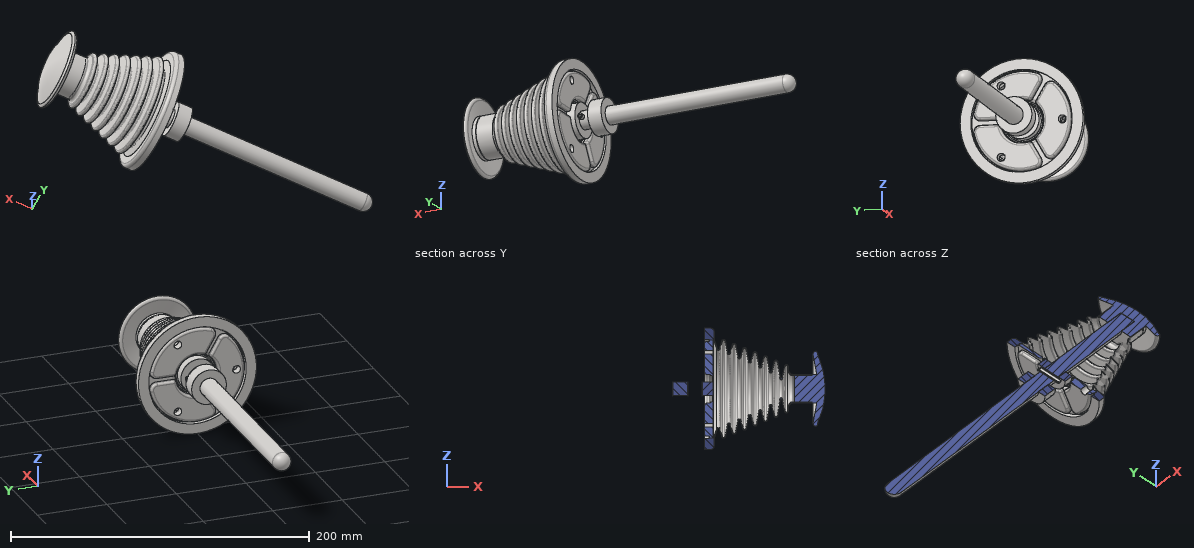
import cadquery as cq
import math

OVERALL_LENGTH = 245.0
KNOB_END_X = 82.5
TIP_X = KNOB_END_X - OVERALL_LENGTH

SHAFT_DIAMETER = 13.0
SHAFT_RADIUS = SHAFT_DIAMETER / 2
SHAFT_END_X = 73.5
COLLAR_RADIUS = 12.5
COLLAR_START_X = -21.3
COLLAR_LENGTH = 10.3
PIN_RADIUS = 1.84
PIN_BORE_RADIUS = 1.0
PIN_LENGTH = 18.5
PIN_X = -3.7

PLATE_RADIUS = 35.0
PLATE_THICKNESS = 6.0
PAD_COUNT = 3
PAD_HEIGHT = 3.2
PAD_OUTER_RADIUS = 34.0
PAD_INNER_RADIUS = 15.0
PAD_TOP_ROUND = 1.7
PAD_OUTER_CORNER_ROUND = 4.7
PAD_INNER_CORNER_ROUND = 2.0
PAD_GAP = 3.2
SCREW_HOLE_RADIUS = 2.7
SCREW_HOLE_PLACE_RADIUS = 28.2
PLATE_BORE_RADIUS = 14.5
PLATE_BORE_ROUND = 2.0
PLATE_LIP_RADIUS = 13.5

BUSHING_RADIUS = COLLAR_RADIUS
BUSHING_START_X = -1.5

FLANGE_DIAMETER = 85.0
FLANGE_RADIUS = FLANGE_DIAMETER / 2
FLANGE_THICKNESS = 6.9
FLANGE_ROUND = 2.5
FOLD_START_RADIUS = 35.0
RIB_COUNT = 7
FIRST_RIB_X = 13.0
LAST_RIB_X = 55.1
FIRST_RIB_RADIUS = 35.3
LAST_RIB_RADIUS = 20.0
RIB_PITCH = (LAST_RIB_X - FIRST_RIB_X) / (RIB_COUNT - 1)
RIB_RADIUS_STEP = (FIRST_RIB_RADIUS - LAST_RIB_RADIUS) / (RIB_COUNT - 1)
RIB_DEPTH = 6.4
RIB_ROUND = 1.5
VALLEY_ROUND = 0.61
WALL = 0.7
NECK_RADIUS = 15.2
NECK_ROUND = 2.5
NECK_START_X = 59.0
NECK_END_X = 72.5

SPIGOT_RADIUS = NECK_RADIUS - WALL
SPIGOT_LENGTH = 12.2
KNOB_RADIUS = 28.0
KNOB_RIM_X = 72.8
KNOB_RIM_ROUND = 2.2
DOME_START_X = 76.2
DOME_START_RADIUS = 25.7
DISH_DEPTH = 2.5


def cylinder(start_x, length, radius):
    return cq.Workplane("YZ", origin=(start_x, 0, 0)).circle(radius).extrude(length)


def revolve_about_x(outline):
    return outline.close().revolve(360, (0, 0, 0), (1, 0, 0))


def pin_plane():
    """Plane of the +Y end of the cross pin; extruding runs toward -Y."""
    return cq.Workplane("XZ", origin=(PIN_X, PIN_LENGTH / 2, 0))


def make_cross_pin():
    """Hollow pin that passes through the shaft along Y."""
    return pin_plane().circle(PIN_RADIUS).circle(PIN_BORE_RADIUS).extrude(PIN_LENGTH)


def make_shaft():
    outline = (
        cq.Workplane("XZ")
        .moveTo(TIP_X, 0)
        .radiusArc((TIP_X + SHAFT_RADIUS, SHAFT_RADIUS), SHAFT_RADIUS)
        .lineTo(SHAFT_END_X, SHAFT_RADIUS)
        .lineTo(SHAFT_END_X, 0)
    )
    pin_hole = pin_plane().circle(PIN_RADIUS).extrude(PIN_LENGTH)
    return revolve_about_x(outline).cut(pin_hole)


def make_collar():
    bore = cylinder(COLLAR_START_X, COLLAR_LENGTH, SHAFT_RADIUS)
    return cylinder(COLLAR_START_X, COLLAR_LENGTH, COLLAR_RADIUS).cut(bore)


def make_pad():
    """Sector pad centred on -Y, as deep as the plate, with all corners and its top edge rounded."""
    half_gap = PAD_GAP / 2
    sector_half_angle = math.radians(180 / PAD_COUNT)

    def corner(radius):
        """Corner at this radius, on the side that runs half a gap from the edge of the sector."""
        angle = sector_half_angle - math.asin(half_gap / radius)
        return -radius * math.cos(angle), radius * math.sin(angle)

    outer_y, outer_z = corner(PAD_OUTER_RADIUS)
    inner_y, inner_z = corner(PAD_INNER_RADIUS)
    pad = (
        cq.Workplane("YZ")
        .moveTo(outer_y, outer_z)
        .threePointArc((-PAD_OUTER_RADIUS, 0), (outer_y, -outer_z))
        .lineTo(inner_y, -inner_z)
        .threePointArc((-PAD_INNER_RADIUS, 0), (inner_y, inner_z))
        .close()
        .extrude(PLATE_THICKNESS)
    )
    pad = pad.edges("|X and (>Z or <Z)").fillet(PAD_OUTER_CORNER_ROUND)
    pad = pad.edges("|X").edges(">Y").fillet(PAD_INNER_CORNER_ROUND)
    return pad.faces("<X").edges().fillet(PAD_TOP_ROUND)


def make_plate_base():
    """Disc behind the pads, with a bore that rounds inward from its front to a narrow lip."""
    lip_x = PAD_HEIGHT + PLATE_BORE_ROUND
    outline = (
        cq.Workplane("XZ")
        .moveTo(PAD_HEIGHT, PLATE_RADIUS)
        .lineTo(PAD_HEIGHT, PLATE_BORE_RADIUS + PLATE_BORE_ROUND)
        .radiusArc((lip_x, PLATE_BORE_RADIUS), -PLATE_BORE_ROUND)
        .lineTo(lip_x, PLATE_LIP_RADIUS)
        .lineTo(PLATE_THICKNESS, PLATE_LIP_RADIUS)
        .lineTo(PLATE_THICKNESS, PLATE_RADIUS)
    )
    return revolve_about_x(outline)


def make_base_plate():
    plate = make_plate_base()
    pad = make_pad()
    hole = cylinder(0, PLATE_THICKNESS, SCREW_HOLE_RADIUS).translate((0, -SCREW_HOLE_PLACE_RADIUS, 0))
    for index in range(PAD_COUNT):
        angle = index * 360 / PAD_COUNT
        plate = plate.union(pad.rotate((0, 0, 0), (1, 0, 0), angle))
        plate = plate.cut(hole.rotate((0, 0, 0), (1, 0, 0), angle))
    return plate


def make_bushing():
    length = PLATE_THICKNESS - BUSHING_START_X
    lip_x = PAD_HEIGHT + PLATE_BORE_ROUND
    nose = cylinder(BUSHING_START_X, length, BUSHING_RADIUS)
    shoulder = cylinder(lip_x, PLATE_THICKNESS - lip_x, PLATE_LIP_RADIUS)
    return nose.union(shoulder).cut(cylinder(BUSHING_START_X, length, SHAFT_RADIUS))


def make_folds(inset):
    """Solid of revolution of the folds and the neck, with its surface moved inward by inset."""
    rib_round = RIB_ROUND - inset
    valley_round = VALLEY_ROUND + inset
    neck_radius = NECK_RADIUS - inset
    neck_round = NECK_ROUND + inset
    outline = (
        cq.Workplane("XZ")
        .moveTo(PLATE_THICKNESS, 0)
        .lineTo(PLATE_THICKNESS, FOLD_START_RADIUS - inset)
        .lineTo(FLANGE_THICKNESS - inset, FOLD_START_RADIUS - inset)
    )
    for rib in range(RIB_COUNT):
        rib_x = FIRST_RIB_X + rib * RIB_PITCH
        valley_x = rib_x - RIB_PITCH / 2
        top = FIRST_RIB_RADIUS - rib * RIB_RADIUS_STEP - inset
        bottom = top - RIB_DEPTH
        outline = (
            outline.lineTo(valley_x - valley_round, bottom + valley_round)
            .threePointArc((valley_x, bottom), (valley_x + valley_round, bottom + valley_round))
            .lineTo(rib_x - rib_round, top - rib_round)
            .threePointArc((rib_x, top), (rib_x + rib_round, top - rib_round))
        )
    outline = (
        outline.lineTo(NECK_START_X - neck_round, neck_radius + neck_round)
        .radiusArc((NECK_START_X, neck_radius), -neck_round)
        .lineTo(NECK_END_X, neck_radius)
        .lineTo(NECK_END_X, 0)
    )
    return revolve_about_x(outline)


def make_bellows():
    flange = cylinder(0, FLANGE_THICKNESS, FLANGE_RADIUS).faces(">X").edges().fillet(FLANGE_ROUND)
    seat = cylinder(0, PLATE_THICKNESS, PLATE_RADIUS)
    return flange.union(make_folds(0)).cut(seat).cut(make_folds(WALL))


def make_knob():
    spigot_start_x = NECK_END_X - SPIGOT_LENGTH
    rim_inner_radius = KNOB_RADIUS - KNOB_RIM_ROUND
    rim_top_x = KNOB_RIM_X + KNOB_RIM_ROUND
    dome_rise = KNOB_END_X - DOME_START_X
    dome_radius = (DOME_START_RADIUS**2 + dome_rise**2) / (2 * dome_rise)
    outline = (
        cq.Workplane("XZ")
        .moveTo(spigot_start_x, 0)
        .lineTo(spigot_start_x, SPIGOT_RADIUS)
        .lineTo(NECK_END_X, SPIGOT_RADIUS)
        .lineTo(NECK_END_X, NECK_RADIUS)
        .lineTo(KNOB_RIM_X + DISH_DEPTH, NECK_RADIUS)
        .lineTo(KNOB_RIM_X, rim_inner_radius)
        .radiusArc((rim_top_x, KNOB_RADIUS), KNOB_RIM_ROUND)
        .radiusArc((DOME_START_X, DOME_START_RADIUS), KNOB_RIM_ROUND)
        .radiusArc((KNOB_END_X, 0), dome_radius)
    )
    shaft_socket = cylinder(spigot_start_x, SHAFT_END_X - spigot_start_x, SHAFT_RADIUS)
    return revolve_about_x(outline).cut(shaft_socket)


shaft = make_shaft()
collar = make_collar()
cross_pin = make_cross_pin()
base_plate = make_base_plate()
bushing = make_bushing()
bellows = make_bellows()
knob = make_knob()

result = cq.Compound.makeCompound([
    shaft.val(),
    collar.val(),
    cross_pin.val(),
    base_plate.val(),
    bushing.val(),
    bellows.val(),
    knob.val(),
])